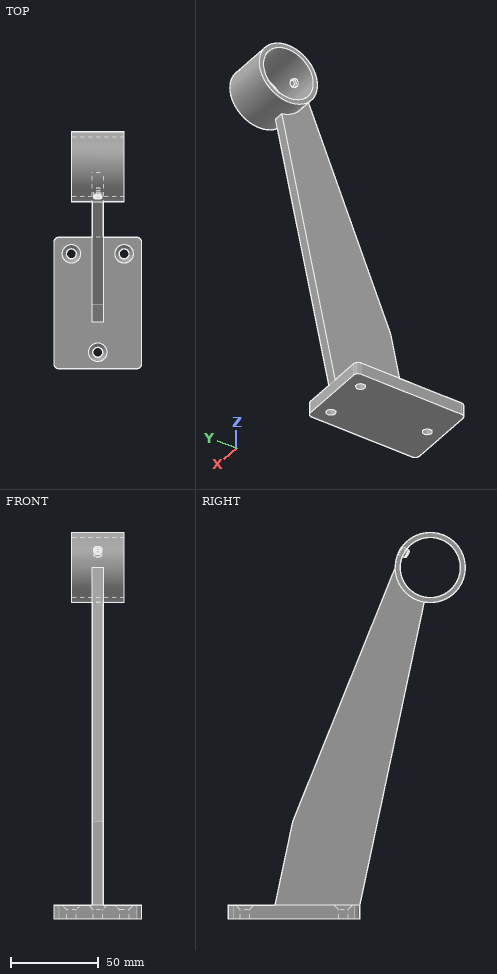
import cadquery as cq
import math

plate_width = 50.0
plate_length = 75.0
plate_thickness = 8.0
plate_corner_radius = 3.0

hole_diameter = 5.5
countersink_diameter = 10.5
countersink_angle = 90.0
hole_edge_distance = 9.5
rear_hole_spacing = 30.0

ring_outer_diameter = 40.0
ring_bore_diameter = 34.1
ring_width = 30.0
ring_center_y = 115.0
ring_center_z = 200.0

arm_thickness = 6.5
arm_foot_length = 48.4
arm_lean_angle = 12.0
arm_kink_height = 47.6

screw_diameter = 5.0
screw_length = 5.0
screw_outer_chamfer = 0.4
screw_tip_chamfer = 0.8
screw_elevation = 30.0
screw_tip_radius = 14.7
socket_across_flats = 2.5
socket_depth = 2.5


def make_plate():
    """Rounded plate with two countersunk holes at the rear and one at the front."""
    rear_hole_y = plate_length / 2 - hole_edge_distance
    hole_points = [
        (-rear_hole_spacing / 2, rear_hole_y),
        (rear_hole_spacing / 2, rear_hole_y),
        (0, -rear_hole_y),
    ]
    return (
        cq.Workplane("XY")
        .box(plate_width, plate_length, plate_thickness, centered=(True, True, False))
        .edges("|Z")
        .fillet(plate_corner_radius)
        .faces(">Z")
        .workplane()
        .pushPoints(hole_points)
        .cskHole(hole_diameter, countersink_diameter, countersink_angle)
        .translate((0, plate_length / 2, 0))
    )


def make_arm():
    """Flat arm whose rear edge and lower front edge lean back by the same angle."""
    lean = math.tan(math.radians(arm_lean_angle))
    foot_front_y = plate_length - arm_foot_length
    arm_height = ring_center_z - plate_thickness
    outline = [
        (plate_length, plate_thickness),
        (foot_front_y, plate_thickness),
        (foot_front_y + arm_kink_height * lean, plate_thickness + arm_kink_height),
        (ring_center_y - ring_outer_diameter / 2, ring_center_z),
        (plate_length + arm_height * lean, ring_center_z),
    ]
    return cq.Workplane("YZ").polyline(outline).close().extrude(arm_thickness / 2, both=True)


def ring_cylinder(diameter):
    """Cylinder on the ring axis, as wide as the ring."""
    return (
        cq.Workplane("YZ", origin=(-ring_width / 2, ring_center_y, ring_center_z))
        .circle(diameter / 2)
        .extrude(ring_width)
    )


def screw_plane(distance):
    """Plane square to the screw axis, facing outward at a distance from the ring axis."""
    elevation = math.radians(screw_elevation)
    outward = cq.Vector(0, -math.cos(elevation), math.sin(elevation))
    ring_center = cq.Vector(0, ring_center_y, ring_center_z)
    return cq.Plane(origin=ring_center + outward * distance, xDir=(1, 0, 0), normal=outward)


def make_screw_hole():
    """Cylinder that opens one wall of the ring."""
    return (
        cq.Workplane(screw_plane(0))
        .circle(screw_diameter / 2)
        .extrude(ring_outer_diameter)
    )


def make_bracket():
    """Plate, arm and ring as one welded body."""
    return (
        make_plate()
        .union(make_arm())
        .union(ring_cylinder(ring_outer_diameter))
        .cut(ring_cylinder(ring_bore_diameter))
        .cut(make_screw_hole())
    )


def make_set_screw():
    """Headless screw with both ends chamfered and a hexagon socket in its outer end."""
    socket_across_corners = socket_across_flats / math.cos(math.pi / 6)
    tip_plane = screw_plane(screw_tip_radius)
    outward = tip_plane.zDir
    outer_end_radius = screw_tip_radius + screw_length
    socket = (
        cq.Workplane(screw_plane(outer_end_radius))
        .polygon(6, socket_across_corners)
        .extrude(-socket_depth)
    )
    return (
        cq.Workplane(tip_plane)
        .circle(screw_diameter / 2)
        .extrude(screw_length)
        .edges(cq.selectors.DirectionMinMaxSelector(outward, True))
        .chamfer(screw_outer_chamfer)
        .edges(cq.selectors.DirectionMinMaxSelector(outward, False))
        .chamfer(screw_tip_chamfer)
        .cut(socket)
    )


bracket = make_bracket()
set_screw = make_set_screw()

result = cq.Compound.makeCompound([bracket.val(), set_screw.val()])